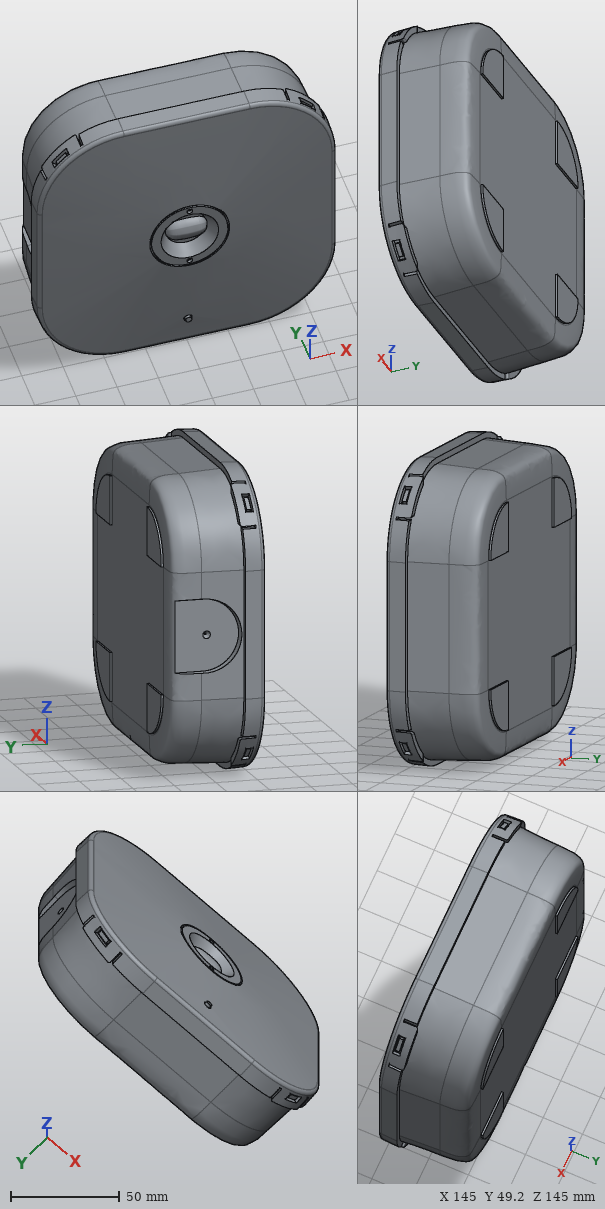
import cadquery as cq
import math


OUTER_WIDTH = 145.03
HALF_WIDTH = OUTER_WIDTH / 2
CORNER_CENTRE = 30.5

TOTAL_DEPTH = 49.2
BODY_BACK = 1.0
COVER_BACK = 35.2
COVER_FRONT = 45.0

BODY_INSET = 2.9
BODY_DRAFT = 3.1
BODY_SEAM = 15.2
BACK_ROUND = [(0, BODY_SEAM), (1.1, 5.0), (3.2, 2.0), (7.2, 1.25), (14.0, BODY_BACK)]
FOOT_EMBED = 4.0
FOOT_RADIUS = 23.3

COVER_DRAFT = 2.4
COVER_FRONT_FILLET = 1.9
DOME_RISE = 4.6
DOME_EXPONENT = 1.7
DOME_BASE_SINK = 0.2
DOME_DIRECTIONS = 16
DOME_FRACTIONS = (0.3, 0.6, 0.8)

TAB_SIDE = 50.7
TAB_OVERHANG = 1.0
TAB_CORNER_RADIUS = 1.0
TAB_BACK = COVER_BACK - TAB_OVERHANG
SLOT_WIDTH = 1.2
SLOT_FRONT = 41.7
WINDOW_WIDTH = 9.8
WINDOW_BACK = 38.0
LATCH_WIDTH = 6.5
LATCH_BACK = 38.9
LATCH_FRONT = 41.0
LATCH_HEIGHT = 1.8

BEZEL_RADIUS = 18.5
BEZEL_GROOVE_WIDTH = 0.8
BEZEL_GROOVE_DEPTH = 1.0
CONE_FRONT_RADIUS = 13.9
CONE_BACK_RADIUS = 9.8
CONE_DEPTH = 6.0
PIN_HOLE_RADIUS = 1.3
PIN_HOLE_OFFSET = 16.1
PIN_HOLE_DEPTH = 1.5
LENS_RADIUS = 5.9
LENS_HALF_LENGTH = 10.0
LENS_SQUARENESS = 3.0
LENS_STEPS = 9
LENS_AXIS_DEPTH = 42.2

LIGHT_Z = -56.5
LIGHT_HOLE_RADIUS = 2.0
LIGHT_RADIUS = 1.5
LIGHT_TIP = 47.6
LIGHT_HOLE_FLOOR = 43.0

PANEL_RADIUS = 17.2
PANEL_CENTRE_DEPTH = 16.4
PANEL_FLOOR_X = -66.4
PANEL_WALL_DRAFT = 12.0
PANEL_DIMPLE_RADIUS = 1.8
PANEL_DIMPLE_DEPTH = 2.0
PANEL_DIMPLE_DRAFT = 35.0
PANEL_DIMPLE_CENTRE_DEPTH = 18.2

body_half_width = HALF_WIDTH - BODY_INSET
corner_outer_radius = HALF_WIDTH - CORNER_CENTRE
corner_body_radius = body_half_width - CORNER_CENTRE
cover_front_half_width = HALF_WIDTH - (COVER_FRONT - COVER_BACK) * math.tan(math.radians(COVER_DRAFT))
DEPTH_AXIS = ((0, 0, 0), (0, 1, 0))
QUARTER_TURNS = (0, 90, 180, 270)
QUADRANTS = [(1, 1), (-1, 1), (-1, -1), (1, -1)]


def at_depth(depth):
    """Workplane facing the front, at a given depth."""
    return cq.Workplane("XZ").workplane(offset=depth)


def rounded_square(half_width):
    """Closed housing outline as a centred sketch."""
    side = 2 * half_width
    return cq.Sketch().rect(side, side).vertices().fillet(half_width - CORNER_CENTRE)


def cylinder(radius, back, front, x=0, z=0):
    return at_depth(back).center(x, z).circle(radius).extrude(front - back)


def draw_back_profile(plane, reach):
    """Close the half section of the rounded back, whose widest point is at a given reach."""
    round_points = [(reach - inset, -depth) for inset, depth in BACK_ROUND]
    draft = math.radians(BODY_DRAFT)
    return (
        plane.moveTo(0, -BODY_SEAM)
        .lineTo(*round_points[0])
        .spline(
            round_points[1:],
            tangents=[(-math.sin(draft), math.cos(draft)), (-1, 0)],
            includeCurrent=True,
        )
        .lineTo(0, -BODY_BACK)
        .close()
    )


def make_rounded_back():
    """Back of the body: four revolved corners joined by straight-sided bars."""
    seam_half_width = body_half_width - (COVER_BACK - BODY_SEAM) * math.tan(math.radians(BODY_DRAFT))
    bar_end = cq.Workplane("XY").workplane(offset=-CORNER_CENTRE)
    half_bar = draw_back_profile(bar_end, seam_half_width).extrude(2 * CORNER_CENTRE)
    back = half_bar
    for quarter_turn in (90, 180, 270):
        back = back.union(half_bar.rotate((0, 0, 0), (0, 1, 0), quarter_turn))
    corner_section = draw_back_profile(cq.Workplane("XY"), seam_half_width - CORNER_CENTRE)
    corner = corner_section.revolve(360, (0, 0, 0), (0, 1, 0))
    for sign_x, sign_z in QUADRANTS:
        back = back.union(corner.translate((sign_x * CORNER_CENTRE, 0, sign_z * CORNER_CENTRE)))
    return back


def make_body():
    """Rear housing, tapering from the cover toward a rounded back."""
    outline = rounded_square(body_half_width)
    wall = at_depth(COVER_BACK).placeSketch(outline).extrude(BODY_SEAM - COVER_BACK, taper=BODY_DRAFT)
    core = at_depth(COVER_BACK).placeSketch(outline).extrude(SLOT_FRONT - COVER_BACK)
    return make_rounded_back().union(wall).union(core)


def make_foot(sign_x, sign_z):
    """Quarter-disc pad behind one corner."""
    start = CORNER_CENTRE
    end = CORNER_CENTRE + FOOT_RADIUS
    middle = CORNER_CENTRE + FOOT_RADIUS * math.sqrt(0.5)
    return (
        at_depth(0)
        .moveTo(sign_x * start, sign_z * start)
        .lineTo(sign_x * end, sign_z * start)
        .threePointArc((sign_x * middle, sign_z * middle), (sign_x * start, sign_z * end))
        .close()
        .extrude(BODY_BACK + FOOT_EMBED)
    )


def make_tab_block(quarter_turn):
    """Block over one corner that the tab overhang stays within, with rounded back corners."""
    block = at_depth(TAB_BACK).moveTo(TAB_SIDE, TAB_SIDE).rect(HALF_WIDTH, HALF_WIDTH, centered=False)
    block = block.extrude(SLOT_FRONT - TAB_BACK).faces(">Y").edges().fillet(TAB_CORNER_RADIUS)
    return block.rotate(*DEPTH_AXIS, quarter_turn)


def make_cover():
    """Drafted cover rim with a rounded front edge, its back trimmed away between the corner tabs."""
    back_half_width = HALF_WIDTH + TAB_OVERHANG * math.tan(math.radians(COVER_DRAFT))
    rim = (
        at_depth(TAB_BACK)
        .placeSketch(rounded_square(back_half_width))
        .extrude(COVER_FRONT - TAB_BACK, taper=COVER_DRAFT)
    )
    rim = rim.faces("<Y").edges().fillet(COVER_FRONT_FILLET)
    trim = cylinder(OUTER_WIDTH, TAB_BACK, COVER_BACK)
    for quarter_turn in QUARTER_TURNS:
        trim = trim.cut(make_tab_block(quarter_turn))
    return rim.cut(trim)


def outline_reach(angle, half_width):
    """Distance from the centre to the rounded-square outline along a direction."""
    radius = half_width - CORNER_CENTRE
    along = max(abs(math.cos(angle)), abs(math.sin(angle)))
    across = min(abs(math.cos(angle)), abs(math.sin(angle)))
    if half_width * across / along <= CORNER_CENTRE:
        return half_width / along
    projection = CORNER_CENTRE * (along + across)
    return projection + math.sqrt(projection**2 + radius**2 - 2 * CORNER_CENTRE**2)


def make_dome():
    """Shallow crowned front: one smooth face bulging from the cover outline."""
    half_width = cover_front_half_width - COVER_FRONT_FILLET
    outline = at_depth(COVER_FRONT).placeSketch(rounded_square(half_width))
    plug = outline.extrude(-DOME_BASE_SINK)
    rim_edges = plug.faces("<Y").edges().vals()
    crown_points = [cq.Vector(0, -COVER_FRONT - DOME_RISE, 0)]
    for fraction in DOME_FRACTIONS:
        rise = DOME_RISE * (1 - fraction**DOME_EXPONENT)
        for step in range(DOME_DIRECTIONS):
            angle = 2 * math.pi * step / DOME_DIRECTIONS
            reach = fraction * outline_reach(angle, half_width)
            point = (reach * math.cos(angle), -COVER_FRONT - rise, reach * math.sin(angle))
            crown_points.append(cq.Vector(*point))
    crown = cq.Face.makeNSidedSurface(rim_edges, crown_points)
    other_faces = plug.faces("not(<Y)").vals()
    shell = cq.Shell.makeShell([crown] + other_faces)
    return cq.Workplane(cq.Solid.makeSolid(shell))


def make_corner_ring():
    """Ring around the +X +Z corner axis, between the body wall and the outside of the cover."""
    return (
        at_depth(TAB_BACK)
        .center(CORNER_CENTRE, CORNER_CENTRE)
        .circle(corner_outer_radius + TAB_OVERHANG)
        .circle(corner_body_radius)
        .extrude(SLOT_FRONT - TAB_BACK)
    )


def make_tab_slots():
    """The two slots beside the +X +Z tab, cut along Z and along X."""
    slot = (
        at_depth(TAB_BACK)
        .moveTo(TAB_SIDE - SLOT_WIDTH, CORNER_CENTRE)
        .rect(SLOT_WIDTH, HALF_WIDTH, centered=False)
        .extrude(SLOT_FRONT - TAB_BACK)
    )
    return slot.union(slot.mirror("XY").rotate(*DEPTH_AXIS, -90))


def make_corner_block(width, reach, back, front):
    """Block from the +X +Z corner axis out along the diagonal."""
    block = (
        at_depth(back)
        .moveTo(0, -width / 2)
        .rect(reach, width, centered=False)
        .extrude(front - back)
    )
    return block.rotate(*DEPTH_AXIS, -45).translate((CORNER_CENTRE, 0, CORNER_CENTRE))


def add_snap_tab(part, quarter_turn):
    """Free one corner tab with two slots, open its window and add the latch behind it."""
    window = make_corner_block(WINDOW_WIDTH, HALF_WIDTH, WINDOW_BACK, SLOT_FRONT)
    openings = make_tab_slots().union(window).intersect(make_corner_ring())
    latch_reach = corner_body_radius + LATCH_HEIGHT
    latch = make_corner_block(LATCH_WIDTH, latch_reach, LATCH_BACK, LATCH_FRONT)
    part = part.cut(openings.rotate(*DEPTH_AXIS, quarter_turn))
    return part.union(latch.rotate(*DEPTH_AXIS, quarter_turn))


def make_lens():
    """Barrel lens: a squared-off oval turned about an axis along X."""
    power = 2 / LENS_SQUARENESS
    profile = []
    for step in range(1, LENS_STEPS):
        angle = math.pi * step / LENS_STEPS
        x = -math.copysign(abs(math.cos(angle)) ** power, math.cos(angle)) * LENS_HALF_LENGTH
        profile.append((x, LENS_RADIUS * math.sin(angle) ** power))
    return (
        cq.Workplane("XY", origin=(0, -LENS_AXIS_DEPTH, 0))
        .moveTo(-LENS_HALF_LENGTH, 0)
        .spline(profile + [(LENS_HALF_LENGTH, 0)], includeCurrent=True)
        .close()
        .revolve(360, (0, 0, 0), (1, 0, 0))
    )


def add_sensor(part):
    """Round bezel with pin holes, a conical recess and a barrel-shaped lens."""
    groove_floor = TOTAL_DEPTH - BEZEL_GROOVE_DEPTH
    clearance_front = TOTAL_DEPTH + DOME_RISE
    part = part.cut(cylinder(BEZEL_RADIUS + BEZEL_GROOVE_WIDTH, groove_floor, clearance_front))
    part = part.union(cylinder(BEZEL_RADIUS, groove_floor, TOTAL_DEPTH))
    draft = math.degrees(math.atan((CONE_FRONT_RADIUS - CONE_BACK_RADIUS) / CONE_DEPTH))
    cone = at_depth(TOTAL_DEPTH).circle(CONE_FRONT_RADIUS).extrude(-CONE_DEPTH, taper=draft)
    part = part.cut(cone)
    for z in (-PIN_HOLE_OFFSET, PIN_HOLE_OFFSET):
        part = part.cut(cylinder(PIN_HOLE_RADIUS, TOTAL_DEPTH - PIN_HOLE_DEPTH, TOTAL_DEPTH, z=z))
    return part.union(make_lens())


def add_indicator_light(part):
    """Light rod standing in a clearance hole below the sensor."""
    part = part.cut(cylinder(LIGHT_HOLE_RADIUS, LIGHT_HOLE_FLOOR, TOTAL_DEPTH, z=LIGHT_Z))
    return part.union(cylinder(LIGHT_RADIUS, LIGHT_HOLE_FLOOR, LIGHT_TIP, z=LIGHT_Z))


def cut_cable_panel(part):
    """D-shaped recess with an upright floor in the drafted -X wall, and its locating dimple."""
    floor = cq.Workplane("YZ", origin=(PANEL_FLOOR_X, 0, 0))
    recess_height = HALF_WIDTH + PANEL_FLOOR_X
    recess = (
        floor.moveTo(PANEL_RADIUS, -PANEL_RADIUS)
        .lineTo(-PANEL_CENTRE_DEPTH, -PANEL_RADIUS)
        .threePointArc((-PANEL_CENTRE_DEPTH - PANEL_RADIUS, 0), (-PANEL_CENTRE_DEPTH, PANEL_RADIUS))
        .lineTo(PANEL_RADIUS, PANEL_RADIUS)
        .close()
        .extrude(-recess_height, taper=-PANEL_WALL_DRAFT)
    )
    recess = recess.intersect(cylinder(OUTER_WIDTH, 0, COVER_BACK))
    dimple = (
        floor.center(-PANEL_DIMPLE_CENTRE_DEPTH, 0)
        .circle(PANEL_DIMPLE_RADIUS)
        .extrude(PANEL_DIMPLE_DEPTH, taper=PANEL_DIMPLE_DRAFT)
    )
    return part.cut(recess).cut(dimple)


result = make_body().union(make_cover()).union(make_dome())
for quadrant in QUADRANTS:
    result = result.union(make_foot(*quadrant))
for turn in QUARTER_TURNS:
    result = add_snap_tab(result, turn)
result = add_sensor(result)
result = add_indicator_light(result)
result = cut_cable_panel(result)